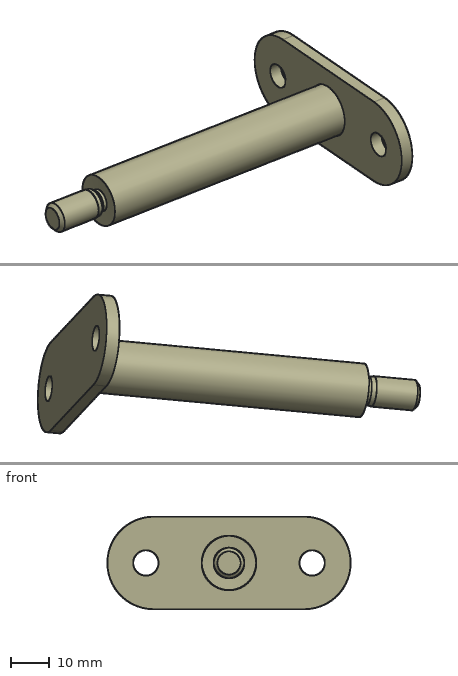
import cadquery as cq
import math

plate_length = 63.0
plate_height = 24.0
plate_thickness = 3.5
hole_diameter = 6.5
hole_spacing = 43.0

post_radius = 7.0
post_projection = 74.5
seat_depth = 2.0
seat_clearance = 0.1
dish_angle = 5.0

stud_projection = 15.0
stud_radius = 4.0
neck_radius = 3.0
collar_start_radius = 3.75
collar_end_radius = 3.9
neck_length = 0.7
flare_length = 1.0
collar_length = 1.3
tip_chamfer = 1.0

seat_radius = post_radius + seat_clearance
plate_front = -plate_thickness
seat_floor = plate_front + seat_depth
post_end = plate_front - post_projection
dish_depth = (post_radius - neck_radius) * math.tan(math.radians(dish_angle))
dish_floor = post_end + dish_depth
flare_start = post_end - neck_length
collar_start = flare_start - flare_length
shank_start = collar_start - collar_length
stud_tip = post_end - stud_projection


def revolve_about_y(profile):
    """Turn a closed (radius, y) outline into a solid of revolution about the Y axis."""
    return cq.Workplane("XY").polyline(profile).close().revolve(360, (0, 0, 0), (0, 1, 0))


def make_plate():
    """Round-ended plate with a blind seat for the post and a screw hole on either side of it."""
    hole_places = [(side * hole_spacing / 2, 0) for side in (-1, 1)]
    blank = cq.Workplane("XZ").slot2D(plate_length, plate_height).extrude(plate_thickness)
    holes = cq.Workplane("XZ").pushPoints(hole_places).circle(hole_diameter / 2).extrude(plate_thickness)
    seat = cq.Workplane("XZ", origin=(0, seat_floor, 0)).circle(seat_radius).extrude(seat_depth)
    return blank.cut(holes).cut(seat)


def make_post():
    """Round bar standing on the seat floor, whose free end slopes inward to the foot of the stud."""
    return revolve_about_y([
        (0, seat_floor),
        (post_radius, seat_floor),
        (post_radius, post_end),
        (neck_radius, dish_floor),
        (0, dish_floor),
    ])


def make_stud():
    """Screw with a thin neck, a flare, a slightly tapered collar, a full-size shank and a chamfered tip."""
    return revolve_about_y([
        (0, dish_floor),
        (neck_radius, dish_floor),
        (neck_radius, flare_start),
        (collar_start_radius, collar_start),
        (collar_end_radius, shank_start),
        (stud_radius, shank_start),
        (stud_radius, stud_tip + tip_chamfer),
        (stud_radius - tip_chamfer, stud_tip),
        (0, stud_tip),
    ])


plate = make_plate()
post = make_post()
stud = make_stud()

result = cq.Compound.makeCompound([plate.val(), post.val(), stud.val()])